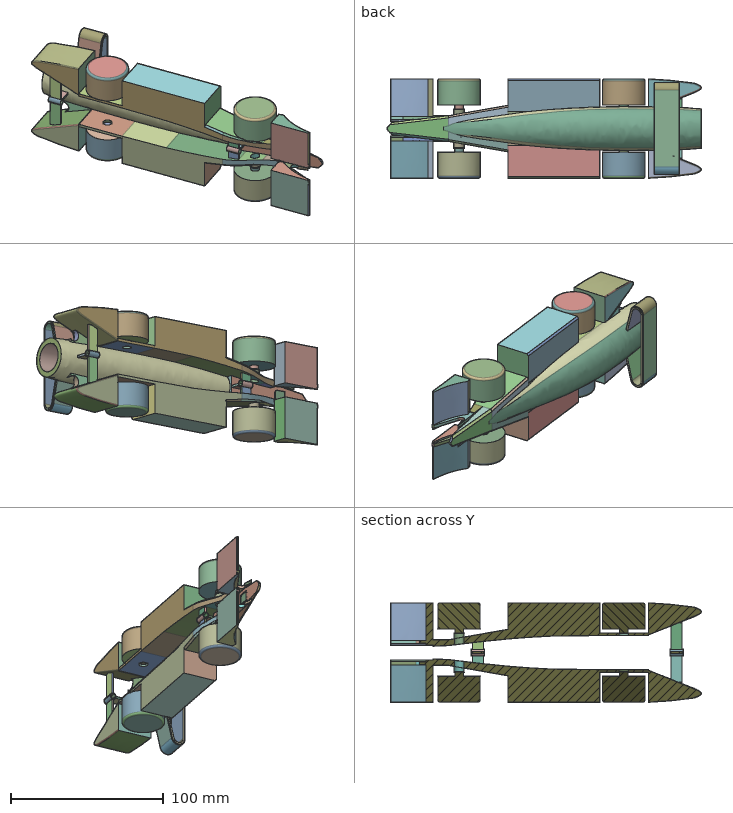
import cadquery as cq
import math


HALF_WIDTH = 32.65
NOSE_TIP_X = 206.0
FLOOR_Y = 4.0
SHOULDER_Y = 28.2

WHEEL_RADIUS = 28.0 / 2
WHEEL_FILLET = 1.5
WHEEL_INNER_Z = 15.5
REAR_AXLE_X = 50.9
FRONT_AXLE_X = 158.8
AXLE_DIAMETER = 6.0
AXLE_END_Z = 12.5
COLLAR_DIAMETER = 7.0
COLLAR_END_Z = 13.0
COLLAR_START_Z = 8.2

FUSELAGE_STATIONS = [
    (0.0, 45.5, 20.0, 13.0, 38.3),
    (16.5, 47.0, 18.5, 14.0, 39.1),
    (41.2, 47.4, 18.1, 14.5, 39.3),
    (69.5, 45.7, 18.0, 14.2, 38.3),
    (96.5, 41.0, 18.0, 12.8, 35.5),
    (118.2, 35.6, 18.1, 10.7, 32.1),
    (142.5, 29.9, 19.2, 8.0, 28.5),
    (169.0, 24.7, 19.5, 5.0, 23.7),
]
BORE_DIAMETER = 19.0
BORE_DEPTH = 51.5
BORE_Y = 32.8

WALL_START_X = 34.8
WALL_OUTER_Z = 13.0
TAPER_START_Z = 15.2
WALL_INNER_Z = 11.1
WALL_REAR_TOP_Y = 27.6
WALL_MIDDLE_TOP_Y = 26.8
WALL_BEND_X = 140.0
WALL_FLOOR_RISE = [(149.4, 5.4), (160.7, 9.0)]
CHANNEL_TAPER_X = 98.9
CHANNEL_TAPER_Z = 10.7
CHANNEL_CURVE_MIDDLE = (126.9, 8.9)
CHANNEL_CURVE_END = (150.4, 6.4)
CHANNEL_STEP_X = 142.5
CHANNEL_ROOF_Y = 25.8
WALL_END_X = 176.0
NECK_X = 165.8
NECK_OUTER_Z = 8.5
NECK_INNER_Z = 4.1
NECK_CHANNEL_Z = 4.5
NECK_FLOOR_Y = 13.8
NECK_TOP_Y = 25.1
WALL_EDGE_CHAMFER = 1.2

POD_START_X = 66.5
POD_END_X = 126.9
POD_CHAMFER = 1.2

FIN_ROOT_Z = 11.5
FIN_OUTLINE = [
    (26.0, 15.0),
    (17.3, 18.5),
    (8.5, 22.0),
    (1.9, 25.0),
    (0.0, 26.8),
    (1.9, 28.6),
    (9.0, 30.3),
    (19.0, 31.5),
    (WALL_START_X, HALF_WIDTH),
]
FIN_FILLET = 0.6
BRACKET_BOTTOM_Y = 23.7
BRACKET_START_X = 11.1
BRACKET_INNER_Z = 9.9
BRACKET_CORNER_Z = 12.8
BRACKET_SCOOP_MIDDLE = (17.7, 16.0)
BRACKET_SCOOP_END = (15.2, 19.2)

WING_START_X = 14.2
WING_END_X = 31.1
WING_RADIUS = 5.05
WING_END_Y = 50.5
WING_END_Z = 25.1
WING_THICKNESS = 1.6
WING_LEG_ANGLE = 13.5
WING_CHAMFER = 0.52

GUIDE_Y = 7.6
GUIDE_OUTER_DIAMETER = 4.5
GUIDE_INNER_DIAMETER = 3.7
GUIDE_LENGTH = 8.9
GUIDE_BAR_LENGTH = 7.5
GUIDE_BAR_THICKNESS = 1.5
GUIDE_WEB_TOP_Y = 19.5
REAR_GUIDE_X = 16.3
REAR_BAR_HALF_SPAN = 19.5
FRONT_GUIDE_X = 146.5
FRONT_BAR_HALF_SPAN = 7.8

NOSE_HALF_WIDTH = 4.1
NOSE_TIP_HALF_WIDTH = 0.6
NOSE_TAPER_X = 203.0
NOSE_BOTTOM_Y = 17.7
NOSE_TIP_TOP_Y = 19.2
NOSE_CHAMFER = 1.5
RECESS_START_X = 179.8
RECESS_END_X = 188.3
RECESS_HALF_WIDTH = 3.5
RECESS_DEPTH = 0.6
RECESS_CORNER_RADIUS = 2.0

FRONT_FIN_START_X = 176.0
FRONT_FIN_END_X = 203.7
FRONT_FIN_INNER_Z = 4.7
FRONT_FIN_BOTTOM_Y = 2.7
FRONT_FIN_TIP_Y = 4.0
FRONT_FIN_CHAMFER = 0.6
FRONT_FIN_TOP_Y = 14.2
FRONT_FIN_CURVE = [(190.0, 8.0), (183.0, 12.0), (179.2, 14.8)]

PYLON_TIP_Y = 4.5
PYLON_ARC_START = (187.0, 12.2)
PYLON_ARC_MIDDLE = (184.8, 14.6)
PYLON_ARC_END = (189.1, 16.3)
PYLON_TOP_END_X = 195.7
PYLON_INNER_Z = 6.0
PYLON_THICKNESS = 2.0


def plan(bottom_y):
    """Sketch plane seen in plan: local axes are X and Z; extrude by a negative length to go up."""
    return cq.Workplane("XZ", origin=(0, bottom_y, 0))


def profile(start_z):
    """Sketch plane seen from the side: local axes are X and Y, extruded toward +Z."""
    return cq.Workplane("XY", origin=(0, 0, start_z))


def both_sides(shape):
    return shape.union(shape.mirror("XY"))


def make_fuselage():
    wires = []
    for x, top, bottom, half_width, seam in FUSELAGE_STATIONS:
        centre = cq.Vector(x, (top + bottom) / 2, 0)
        half_height = (top - bottom) / 2
        seam_angle = math.degrees(math.asin((seam - centre.y) / half_height))
        wide = half_width >= half_height
        major, minor = max(half_width, half_height), min(half_width, half_height)
        major_axis = cq.Vector(0, 0, 1) if wide else cq.Vector(0, 1, 0)
        offset = 0 if wide else -90
        normal = cq.Vector(-1, 0, 0)
        turns = [(seam_angle, 180 - seam_angle), (180 - seam_angle, 360 + seam_angle)]
        arcs = [
            cq.Edge.makeEllipse(major, minor, centre, normal, major_axis, a + offset, b + offset)
            for a, b in turns
        ]
        wires.append(cq.Wire.assembleEdges(arcs))
    return cq.Workplane(cq.Solid.makeLoft(wires, False))


def make_walls():
    outer = (
        plan(FLOOR_Y)
        .moveTo(WALL_START_X, 0)
        .lineTo(WALL_START_X, WALL_OUTER_Z)
        .lineTo(POD_START_X, WALL_OUTER_Z)
        .lineTo(POD_START_X, TAPER_START_Z)
        .lineTo(POD_END_X, TAPER_START_Z)
        .lineTo(NECK_X, NECK_OUTER_Z)
        .lineTo(WALL_END_X, NECK_OUTER_Z)
        .lineTo(WALL_END_X, 0)
        .close()
        .extrude(FLOOR_Y - SHOULDER_Y)
    )
    side = (
        profile(-HALF_WIDTH)
        .moveTo(WALL_START_X, FLOOR_Y)
        .lineTo(WALL_BEND_X, FLOOR_Y)
        .spline(WALL_FLOOR_RISE + [(WALL_END_X, NECK_FLOOR_Y)], includeCurrent=True)
        .lineTo(WALL_END_X, NOSE_BOTTOM_Y)
        .lineTo(NECK_X, NOSE_BOTTOM_Y)
        .lineTo(NECK_X, NECK_TOP_Y)
        .lineTo(POD_END_X, SHOULDER_Y)
        .lineTo(POD_START_X, WALL_MIDDLE_TOP_Y)
        .lineTo(WALL_START_X, WALL_REAR_TOP_Y)
        .close()
        .extrude(2 * HALF_WIDTH)
    )
    half = outer.intersect(side)
    taper_edges = cq.selectors.BoxSelector((POD_END_X, 0, NECK_INNER_Z), (NECK_X, SHOULDER_Y, TAPER_START_Z))
    half = half.edges(taper_edges).edges("not |Y").edges("not |Z").chamfer(WALL_EDGE_CHAMFER)
    inner = (
        plan(0)
        .moveTo(WALL_START_X, 0)
        .lineTo(WALL_START_X, WALL_INNER_Z)
        .lineTo(POD_START_X, WALL_INNER_Z)
        .lineTo(CHANNEL_TAPER_X, CHANNEL_TAPER_Z)
        .threePointArc(CHANNEL_CURVE_MIDDLE, CHANNEL_CURVE_END)
        .lineTo(NECK_X, NECK_CHANNEL_Z)
        .lineTo(WALL_END_X, NECK_INNER_Z)
        .lineTo(WALL_END_X, 0)
        .close()
        .extrude(-CHANNEL_ROOF_Y)
    )
    roof = profile(-HALF_WIDTH).moveTo(CHANNEL_STEP_X, NOSE_BOTTOM_Y)
    roof = roof.rect(WALL_END_X - CHANNEL_STEP_X, SHOULDER_Y, centered=False).extrude(2 * HALF_WIDTH)
    return both_sides(half.cut(inner.cut(roof)))


def make_pods():
    pod = profile(WALL_INNER_Z).moveTo(POD_START_X, FLOOR_Y)
    pod = pod.rect(POD_END_X - POD_START_X, SHOULDER_Y - FLOOR_Y, centered=False)
    pod = pod.extrude(HALF_WIDTH - WALL_INNER_Z)
    return both_sides(pod.edges(">Y and >Z").chamfer(POD_CHAMFER))


def make_rear_fins():
    fin = plan(FLOOR_Y).moveTo(WALL_START_X, FIN_ROOT_Z).spline(FIN_OUTLINE, includeCurrent=True)
    fin = fin.close().extrude(FLOOR_Y - SHOULDER_Y)
    fin = fin.faces("<Y or >Y").edges("not |Z").fillet(FIN_FILLET)
    bracket = (
        plan(BRACKET_BOTTOM_Y)
        .moveTo(BRACKET_START_X, BRACKET_INNER_Z)
        .lineTo(BRACKET_START_X, BRACKET_CORNER_Z)
        .threePointArc(BRACKET_SCOOP_MIDDLE, BRACKET_SCOOP_END)
        .lineTo(WALL_START_X, FIN_ROOT_Z)
        .lineTo(WALL_START_X, BRACKET_INNER_Z)
        .close()
        .extrude(BRACKET_BOTTOM_Y - SHOULDER_Y)
    )
    return both_sides(fin.union(bracket))


def wing_outline(radius):
    """Wing outline in the YZ plane, with rounded ends and legs that meet inside the fuselage."""
    leg = math.radians(WING_LEG_ANGLE)
    tangent_y = WING_END_Y - radius * math.cos(leg)
    tangent_z = WING_END_Z + radius * math.sin(leg)
    middle_y = WING_END_Y + radius * math.sin(leg / 2)
    middle_z = WING_END_Z + radius * math.cos(leg / 2)
    top_y = WING_END_Y + radius
    meeting_y = tangent_y - tangent_z * math.tan(leg)
    return (
        cq.Workplane("YZ", origin=(WING_START_X, 0, 0))
        .moveTo(top_y, -WING_END_Z)
        .lineTo(top_y, WING_END_Z)
        .threePointArc((middle_y, middle_z), (tangent_y, tangent_z))
        .lineTo(meeting_y, 0)
        .lineTo(tangent_y, -tangent_z)
        .threePointArc((middle_y, -middle_z), (top_y, -WING_END_Z))
        .close()
        .extrude(WING_END_X - WING_START_X)
    )


def make_wing():
    band = wing_outline(WING_RADIUS).faces("<X or >X").edges().chamfer(WING_CHAMFER)
    return band.cut(wing_outline(WING_RADIUS - WING_THICKNESS))


def make_guide(x, half_span):
    """Tether ring along X, with a cross bar and a web up to the fuselage."""
    ring = (
        cq.Workplane("YZ", origin=(x - GUIDE_LENGTH / 2, GUIDE_Y, 0))
        .circle(GUIDE_OUTER_DIAMETER / 2)
        .extrude(GUIDE_LENGTH)
    )
    bar = cq.Workplane(origin=(x, GUIDE_Y, 0)).box(GUIDE_BAR_LENGTH, GUIDE_BAR_THICKNESS, 2 * half_span)
    web_height = GUIDE_WEB_TOP_Y - GUIDE_Y
    web = cq.Workplane(origin=(x, GUIDE_Y + web_height / 2, 0))
    web = web.box(GUIDE_BAR_LENGTH, web_height, GUIDE_BAR_THICKNESS)
    hole = (
        cq.Workplane("YZ", origin=(x - GUIDE_LENGTH / 2, GUIDE_Y, 0))
        .circle(GUIDE_INNER_DIAMETER / 2)
        .extrude(GUIDE_LENGTH)
    )
    return ring.union(bar).union(web).cut(hole)


def make_nose():
    side = (
        profile(-HALF_WIDTH)
        .moveTo(NECK_X, NOSE_BOTTOM_Y)
        .lineTo(NOSE_TIP_X, NOSE_BOTTOM_Y)
        .lineTo(NOSE_TIP_X, NOSE_TIP_TOP_Y)
        .lineTo(NECK_X, NECK_TOP_Y)
        .close()
        .extrude(2 * HALF_WIDTH)
    )
    half_plan = [(NECK_X, NECK_OUTER_Z), (NOSE_TAPER_X, NOSE_HALF_WIDTH), (NOSE_TIP_X, NOSE_TIP_HALF_WIDTH)]
    outline = half_plan + [(x, -z) for x, z in reversed(half_plan)]
    nose = side.intersect(plan(NOSE_BOTTOM_Y).polyline(outline).close().extrude(NOSE_BOTTOM_Y - NECK_TOP_Y))
    long_edges = cq.selectors.BoxSelector(
        (NECK_X + 2, NOSE_TIP_TOP_Y, -NECK_OUTER_Z), (NOSE_TAPER_X, NECK_TOP_Y, NECK_OUTER_Z))
    nose = nose.edges(long_edges).edges("not |Z").chamfer(NOSE_CHAMFER)
    recess = plan(NOSE_BOTTOM_Y).center((RECESS_START_X + RECESS_END_X) / 2, 0)
    recess = recess.rect(RECESS_END_X - RECESS_START_X, 2 * RECESS_HALF_WIDTH).extrude(-RECESS_DEPTH)
    return nose.cut(recess.edges("|Y and <X").fillet(RECESS_CORNER_RADIUS))


def make_front_fins():
    fin = (
        profile(FRONT_FIN_INNER_Z)
        .moveTo(FRONT_FIN_START_X, FRONT_FIN_BOTTOM_Y)
        .lineTo(FRONT_FIN_END_X, FRONT_FIN_BOTTOM_Y)
        .lineTo(FRONT_FIN_END_X, FRONT_FIN_TIP_Y)
        .spline(FRONT_FIN_CURVE, includeCurrent=True)
        .lineTo(FRONT_FIN_START_X, FRONT_FIN_TOP_Y)
        .close()
        .extrude(HALF_WIDTH - FRONT_FIN_INNER_Z)
        .edges(">X and <Y")
        .chamfer(FRONT_FIN_CHAMFER)
    )
    pylon = (
        profile(PYLON_INNER_Z)
        .moveTo(FRONT_FIN_START_X, FRONT_FIN_BOTTOM_Y)
        .lineTo(FRONT_FIN_END_X, FRONT_FIN_BOTTOM_Y)
        .lineTo(FRONT_FIN_END_X, PYLON_TIP_Y)
        .lineTo(*PYLON_ARC_START)
        .threePointArc(PYLON_ARC_MIDDLE, PYLON_ARC_END)
        .lineTo(PYLON_TOP_END_X, NOSE_BOTTOM_Y)
        .lineTo(FRONT_FIN_START_X, NOSE_BOTTOM_Y)
        .close()
        .extrude(PYLON_THICKNESS)
    )
    return both_sides(fin.union(pylon))


def cylinder_z(x, diameter, start_z, end_z):
    return profile(start_z).center(x, WHEEL_RADIUS).circle(diameter / 2).extrude(end_z - start_z)


def make_car_body():
    body = make_fuselage().union(make_walls()).union(make_pods()).union(make_rear_fins())
    body = body.union(make_wing()).union(make_nose()).union(make_front_fins())
    body = body.union(make_guide(REAR_GUIDE_X, REAR_BAR_HALF_SPAN))
    body = body.union(make_guide(FRONT_GUIDE_X, FRONT_BAR_HALF_SPAN))
    body = body.union(
        both_sides(cylinder_z(FRONT_AXLE_X, COLLAR_DIAMETER, COLLAR_START_Z, COLLAR_END_Z)))
    for x in (REAR_AXLE_X, FRONT_AXLE_X):
        body = body.cut(cylinder_z(x, AXLE_DIAMETER, -HALF_WIDTH, HALF_WIDTH))
    bore = cq.Workplane("YZ", origin=(0, BORE_Y, 0)).circle(BORE_DIAMETER / 2).extrude(BORE_DEPTH)
    return body.cut(bore)


def make_wheel(x, side):
    tyre = cylinder_z(x, 2 * WHEEL_RADIUS, WHEEL_INNER_Z, HALF_WIDTH)
    tyre = tyre.faces(">Z").edges().fillet(WHEEL_FILLET)
    wheel = tyre.union(cylinder_z(x, AXLE_DIAMETER, AXLE_END_Z, WHEEL_INNER_Z))
    return wheel if side > 0 else wheel.mirror("XY")


car_body = make_car_body()
wheels = [make_wheel(x, side) for x in (REAR_AXLE_X, FRONT_AXLE_X) for side in (1, -1)]
result = cq.Compound.makeCompound([car_body.val(), *[wheel.val() for wheel in wheels]])